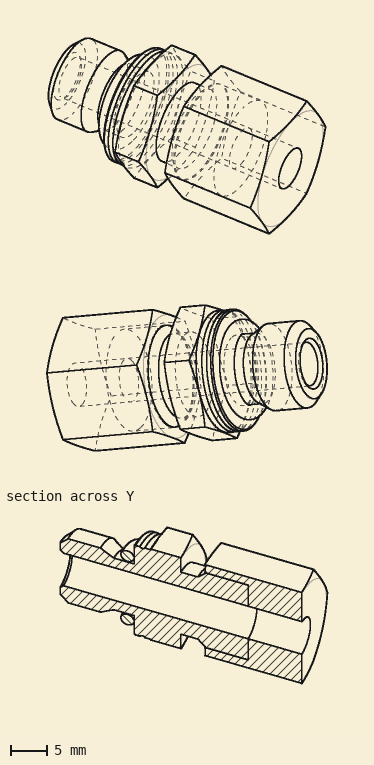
import cadquery as cq
import math


total_length = 36.0
across_flats = 17.0
bore_radius = 3.0
hex_chamfer_angle = 15.0

stud_radius = 6.0
stud_end_chamfer = 1.2
stud_shoulder_x = 6.0
stud_neck_radius = 4.85
stud_taper_angle = 30.0
bore_chamfer = 0.5

flange_x = 11.0
flange_radius = 8.4
flange_chamfer = 0.2
groove_start = 0.85
groove_width = 0.72
groove_depth = 0.2

hex_x = 13.5
hex_end_x = 18.0
rear_neck_radius = 5.85
spigot_radius = 7.02
rear_cone_x = 20.52
spigot_length_in_nut = 6.48

nut_x = 21.53

ring_cord_radius = 1.0
ring_mean_radius = 5.9

corner_radius = across_flats / 2 / math.cos(math.radians(30))
stud_taper_length = (stud_radius - stud_neck_radius) / math.tan(math.radians(stud_taper_angle))
rear_cone_end_x = rear_cone_x + spigot_radius - rear_neck_radius
spigot_end_x = nut_x + spigot_length_in_nut


def cylinder(radius, start_x, end_x):
    """Solid cylinder on the X axis."""
    return cq.Workplane("YZ", origin=(start_x, 0, 0)).circle(radius).extrude(end_x - start_x)


def revolve_about_x(profile):
    """Turn a closed XY profile, drawn as (distance along X, radius), about the X axis."""
    return profile.close().revolve(360, (0, 0, 0), (1, 0, 0))


def chamfered_hexagon(start_x, end_x):
    """Hexagonal prism along X, flats up and down, with conical chamfers on both ends."""
    prism = (
        cq.Workplane("YZ", origin=(start_x, 0, 0))
        .polygon(6, 2 * corner_radius)
        .extrude(end_x - start_x)
    )
    flat_radius = across_flats / 2
    chamfer_length = (corner_radius - flat_radius) * math.tan(math.radians(hex_chamfer_angle))
    envelope = revolve_about_x(
        cq.Workplane("XY")
        .moveTo(start_x, 0)
        .lineTo(start_x, flat_radius)
        .lineTo(start_x + chamfer_length, corner_radius)
        .lineTo(end_x - chamfer_length, corner_radius)
        .lineTo(end_x, flat_radius)
        .lineTo(end_x, 0)
    )
    return prism.intersect(envelope)


def make_fitting():
    """Stud, grooved flange, hexagon and rear spigot, bored right through."""
    groove_x = flange_x + groove_start
    groove_end_x = groove_x + groove_width
    front = revolve_about_x(
        cq.Workplane("XY")
        .lineTo(0, stud_radius - stud_end_chamfer)
        .lineTo(stud_end_chamfer, stud_radius)
        .lineTo(stud_shoulder_x, stud_radius)
        .lineTo(stud_shoulder_x + stud_taper_length, stud_neck_radius)
        .lineTo(flange_x, stud_neck_radius)
        .lineTo(flange_x, flange_radius - flange_chamfer)
        .lineTo(flange_x + flange_chamfer, flange_radius)
        .lineTo(groove_x, flange_radius)
        .threePointArc(
            (groove_x + groove_width / 2, flange_radius - groove_depth),
            (groove_end_x, flange_radius),
        )
        .lineTo(hex_x, flange_radius)
        .lineTo(hex_x, 0)
    )
    rear = revolve_about_x(
        cq.Workplane("XY")
        .moveTo(hex_end_x, 0)
        .lineTo(hex_end_x, rear_neck_radius)
        .lineTo(rear_cone_x, rear_neck_radius)
        .lineTo(rear_cone_end_x, spigot_radius)
        .lineTo(spigot_end_x, spigot_radius)
        .lineTo(spigot_end_x, 0)
    )
    bore_mouth = revolve_about_x(
        cq.Workplane("XY")
        .lineTo(0, bore_radius + bore_chamfer)
        .lineTo(bore_chamfer, bore_radius)
        .lineTo(bore_chamfer, 0)
    )
    solid = front.union(chamfered_hexagon(hex_x, hex_end_x)).union(rear)
    return solid.cut(cylinder(bore_radius, 0, spigot_end_x)).cut(bore_mouth)


def make_sealing_ring():
    """O-ring of round cord around the stud neck."""
    center = cq.Vector(flange_x - ring_cord_radius, 0, 0)
    return cq.Solid.makeTorus(ring_mean_radius, ring_cord_radius, center, cq.Vector(1, 0, 0))


def make_nut():
    """Hexagonal nut with a socket for the spigot and a bore through its closed end."""
    blank = chamfered_hexagon(nut_x, total_length)
    socket = cylinder(spigot_radius, nut_x, spigot_end_x)
    return blank.cut(socket).cut(cylinder(bore_radius, spigot_end_x, total_length))


fitting = make_fitting()
sealing_ring = make_sealing_ring()
nut = make_nut()

result = cq.Compound.makeCompound([fitting.val(), sealing_ring, nut.val()])